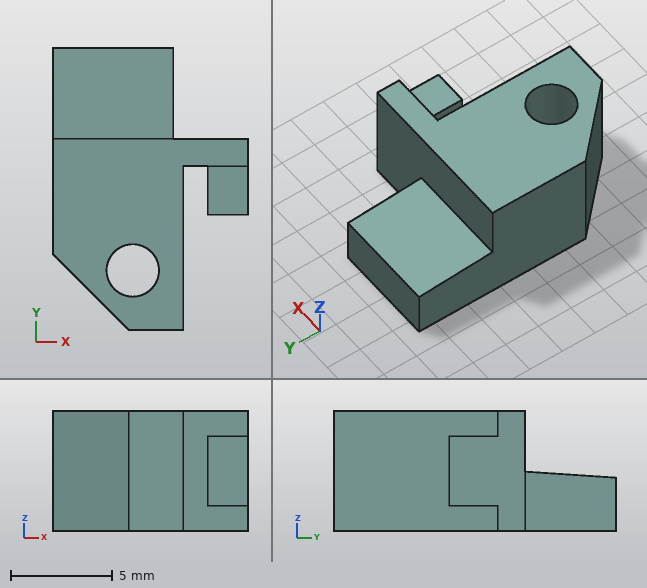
import cadquery as cq

height = 5.95
body_width = 6.45
body_length = 9.45
corner_cut = 3.75

hole_diameter = 2.58
hole_x = 3.95
hole_y = 2.95

overall_width = 9.65
arm_thickness = 1.35
hook_width = 2.0
hook_length = 2.4
hook_height = 3.45

tongue_width = 5.95
tongue_length = 4.5
tongue_root_height = 2.95
tongue_tip_height = 2.65


def make_body_and_arm():
    """Full-height L-shaped block with one corner cut at 45 degrees."""
    arm_front = body_length - arm_thickness
    return (
        cq.Workplane("XY")
        .moveTo(corner_cut, 0)
        .lineTo(body_width, 0)
        .lineTo(body_width, arm_front)
        .lineTo(overall_width, arm_front)
        .lineTo(overall_width, body_length)
        .lineTo(0, body_length)
        .lineTo(0, corner_cut)
        .close()
        .extrude(height)
    )


def make_hook():
    """Block on the front of the arm's end, centred in height and run through the arm."""
    corner = (
        overall_width - hook_width,
        body_length - arm_thickness - hook_length,
        (height - hook_height) / 2,
    )
    return cq.Workplane("XY").box(
        hook_width, hook_length + arm_thickness, hook_height, centered=False
    ).translate(corner)


def make_tongue():
    """Wedge-topped block, its side profile extruded across X."""
    tip_y = body_length + tongue_length
    return (
        cq.Workplane("YZ")
        .moveTo(body_length, 0)
        .lineTo(tip_y, 0)
        .lineTo(tip_y, tongue_tip_height)
        .lineTo(body_length, tongue_root_height)
        .close()
        .extrude(tongue_width)
    )


def make_hole():
    """Cylinder that cuts through the full height of the body."""
    return cq.Workplane("XY").center(hole_x, hole_y).circle(hole_diameter / 2).extrude(height)


result = make_body_and_arm().union(make_hook()).union(make_tongue()).cut(make_hole())